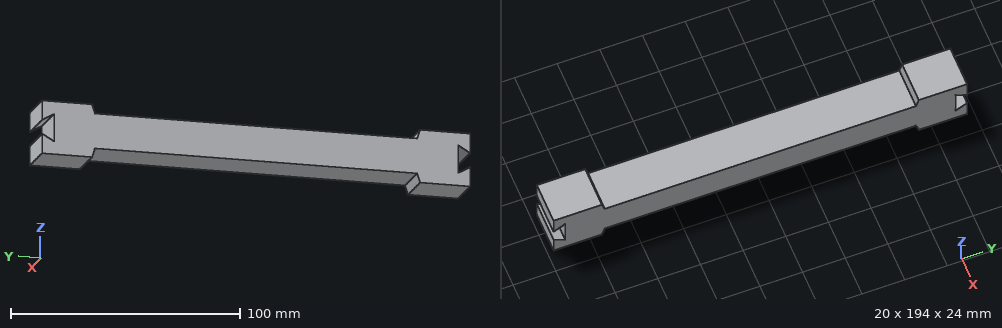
import cadquery as cq

length = 194.0
width = 20.0
head_height = 24.0

shank_height = 16.0
head_flat_length = 22.7
shoulder_run = 1.4

slot_depth = 5.5
slot_mouth = 6.2
slot_base = 12.5

half_length = length / 2
shoulder_top_y = half_length - head_flat_length
shoulder_foot_y = shoulder_top_y - shoulder_run


def make_bar():
    """Dumbbell side profile with sloped shoulders, extruded across the width."""
    upper_edge = [
        (-half_length, head_height / 2),
        (-shoulder_top_y, head_height / 2),
        (-shoulder_foot_y, shank_height / 2),
        (shoulder_foot_y, shank_height / 2),
        (shoulder_top_y, head_height / 2),
        (half_length, head_height / 2),
    ]
    lower_edge = [(y, -z) for y, z in reversed(upper_edge)]
    profile = cq.Workplane("YZ").polyline(upper_edge + lower_edge).close()
    return profile.extrude(width / 2, both=True)


def make_dovetail(end):
    """Slot cutter for the +Y (end=1) or -Y (end=-1) face, wider at its base."""
    mouth_y = end * half_length
    base_y = end * (half_length - slot_depth)
    outline = [
        (mouth_y, slot_mouth / 2),
        (base_y, slot_base / 2),
        (base_y, -slot_base / 2),
        (mouth_y, -slot_mouth / 2),
    ]
    return cq.Workplane("YZ").polyline(outline).close().extrude(width / 2, both=True)


result = make_bar()
for end in (-1, 1):
    result = result.cut(make_dovetail(end))